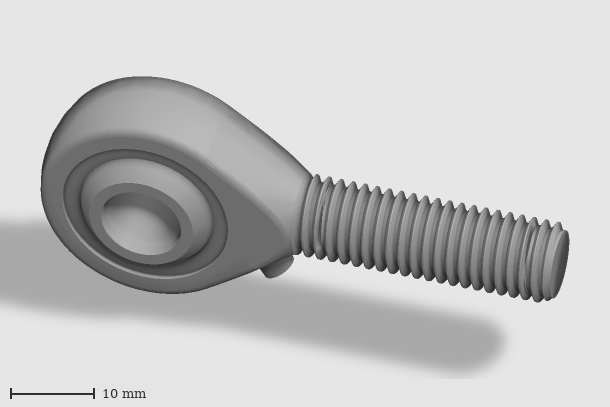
import cadquery as cq
import math


head_radius = 13.95
overall_length = 64.0
head_width = 10.5
head_edge_fillet = 1.0
cone_half_angle = math.radians(33.0)

ball_radius = 9.55
ball_width = 14.0
bore_diameter = 10.0
recess_radius = 10.3
recess_depth = 0.6

nipple_diameter = 4.1
nipple_height = 2.2
nipple_root_depth = 1.9
nipple_offset = 7.6

thread_radius = 5.0
root_radius = 4.15
thread_turns = 20
thread_length = 30.0
first_crest_x = 19.15
end_chamfer = 1.0
thread_flank_angle = math.radians(30.0)
overlap = 0.1
fuse_tolerance = 0.001

shank_end_x = overall_length - head_radius
pitch = thread_length / thread_turns
thread_depth = thread_radius - root_radius
crest_width = pitch / 8
ridge_base_width = pitch * 3 / 4

tangent_x = head_radius * math.sin(cone_half_angle)
tangent_radius = head_radius * math.cos(cone_half_angle)
neck_x = (head_radius - thread_radius * math.cos(cone_half_angle)) / math.sin(cone_half_angle)
neck_end_x = neck_x + thread_depth


def make_head():
    """Sphere with a tangent cone, cut to the head width and rounded along both flat faces."""
    solid = (
        cq.Workplane("XY")
        .moveTo(-head_radius, 0)
        .threePointArc((0, head_radius), (tangent_x, tangent_radius))
        .lineTo(neck_x, thread_radius)
        .lineTo(neck_x, 0)
        .close()
        .revolve(360, (0, 0, 0), (1, 0, 0))
    )
    slab = cq.Workplane("XY").box(4 * head_radius, head_width, 4 * head_radius)
    return solid.intersect(slab).faces("<Y or >Y").edges().fillet(head_edge_fillet)


def make_shank_core():
    """Root cylinder, with a taper from the neck down to the thread root."""
    return (
        cq.Workplane("XY")
        .moveTo(neck_x - overlap, 0)
        .lineTo(neck_x - overlap, thread_radius)
        .lineTo(neck_x, thread_radius)
        .lineTo(neck_end_x, root_radius)
        .lineTo(shank_end_x, root_radius)
        .lineTo(shank_end_x, 0)
        .close()
        .revolve(360, (0, 0, 0), (1, 0, 0))
    )


def make_thread():
    """Right-hand helical ridge, trimmed at the shank end and by the end chamfer."""
    start_x = first_crest_x - pitch
    axis_start = cq.Vector(start_x, 0, 0)
    helix = cq.Wire.makeHelix(
        pitch, thread_length + 2 * pitch, root_radius, axis_start, cq.Vector(1, 0, 0)
    )
    base_radius = root_radius - overlap
    base_half = ridge_base_width / 2 + overlap * math.tan(thread_flank_angle)
    crest_half = crest_width / 2
    ridge = (
        cq.Workplane("XZ")
        .polyline(
            [
                (start_x - base_half, base_radius),
                (start_x - crest_half, thread_radius),
                (start_x + crest_half, thread_radius),
                (start_x + base_half, base_radius),
            ]
        )
        .close()
        .sweep(cq.Workplane(obj=helix), isFrenet=True)
    )
    trim_radius = thread_radius + overlap
    trim_start_x = neck_x - 2 * pitch
    chamfer_start_x = shank_end_x - end_chamfer - overlap
    envelope = (
        cq.Workplane("XY")
        .moveTo(trim_start_x, 0)
        .lineTo(trim_start_x, trim_radius)
        .lineTo(chamfer_start_x, trim_radius)
        .lineTo(shank_end_x, thread_radius - end_chamfer)
        .lineTo(shank_end_x, 0)
        .close()
        .revolve(360, (0, 0, 0), (1, 0, 0))
    )
    return ridge.intersect(envelope)


def make_nipple():
    """Short cylinder standing square on the lower cone surface."""
    outward = cq.Vector(math.sin(cone_half_angle), 0, -math.cos(cone_half_angle))
    along_cone = cq.Vector(math.cos(cone_half_angle), 0, math.sin(cone_half_angle))
    base = outward * (head_radius - nipple_root_depth) + along_cone * nipple_offset
    return (
        cq.Workplane(cq.Plane(origin=base.toTuple(), xDir=along_cone.toTuple(), normal=outward.toTuple()))
        .circle(nipple_diameter / 2)
        .extrude(nipple_root_depth + nipple_height)
    )


def make_seat():
    """Space cut out for the ball: a spherical zone between a shallow round recess on each face."""
    outer_y = head_width / 2 + overlap
    floor_y = head_width / 2 - recess_depth
    mouth_radius = math.sqrt(ball_radius**2 - floor_y**2)
    return (
        cq.Workplane("XY")
        .moveTo(0, -outer_y)
        .lineTo(recess_radius, -outer_y)
        .lineTo(recess_radius, -floor_y)
        .lineTo(mouth_radius, -floor_y)
        .threePointArc((ball_radius, 0), (mouth_radius, floor_y))
        .lineTo(recess_radius, floor_y)
        .lineTo(recess_radius, outer_y)
        .lineTo(0, outer_y)
        .close()
        .revolve(360, (0, 0, 0), (0, 1, 0))
    )


def make_housing():
    """Head, nipple and threaded shank in one piece, opened for the ball."""
    shank = make_shank_core().union(make_thread(), tol=fuse_tolerance)
    return make_head().union(make_nipple()).cut(make_seat()).union(shank)


def make_ball():
    """Truncated sphere with a through bore, revolved about Y."""
    end_y = ball_width / 2
    end_radius = math.sqrt(ball_radius**2 - end_y**2)
    bore_radius = bore_diameter / 2
    return (
        cq.Workplane("XY")
        .moveTo(bore_radius, -end_y)
        .lineTo(end_radius, -end_y)
        .threePointArc((ball_radius, 0), (end_radius, end_y))
        .lineTo(bore_radius, end_y)
        .close()
        .revolve(360, (0, 0, 0), (0, 1, 0))
    )


housing = make_housing()
ball = make_ball()
result = cq.Compound.makeCompound([housing.solids().val(), ball.val()])